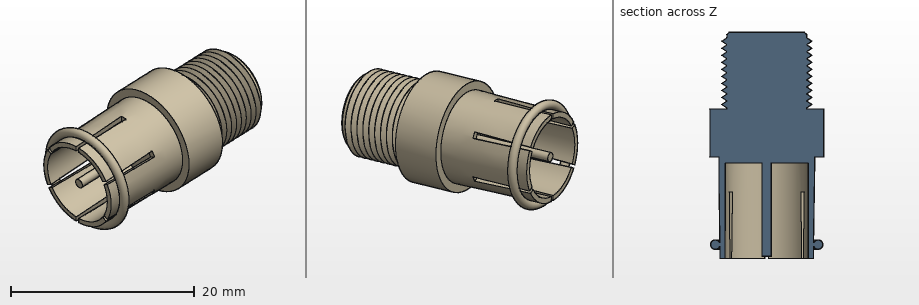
import cadquery as cq

total_length = 24.65

collar_diameter = 12.45
collar_radius = collar_diameter / 2
collar_front = 11.05
collar_rear = 16.29

thread_root_radius = 4.35
thread_crest_radius = 4.93
thread_pitch = 0.76
thread_count = 10
thread_start = 16.39
end_chamfer = 0.27

sleeve_front_radius = 5.1
sleeve_rear_radius = 5.25
bore_radius = 4.5
bore_depth = 10.4

ring_tube_radius = 0.52
ring_path_radius = 5.6
ring_position = 1.53

slot_count = 6
slot_length = 7.25
slot_front_width = 0.37
slot_rear_width = 0.71
slot_floor = bore_radius / 2

pin_radius = 0.52
pin_front = 0.25


def revolve_about_y(outline):
    """Turn an outline drawn in the XY plane fully around the Y axis."""
    return outline.close().revolve(360, (0, 0, 0), (0, 1, 0))


def make_body():
    """Solid turned body: sleeve, collar and threaded end."""
    outline = (
        cq.Workplane("XY")
        .lineTo(sleeve_front_radius, 0)
        .lineTo(sleeve_front_radius, ring_position)
        .lineTo(sleeve_rear_radius, collar_front)
        .lineTo(collar_radius, collar_front)
        .lineTo(collar_radius, collar_rear)
        .lineTo(thread_root_radius, collar_rear)
        .lineTo(thread_root_radius, thread_start)
    )
    for index in range(thread_count):
        ridge_start = thread_start + index * thread_pitch
        outline = outline.lineTo(thread_crest_radius, ridge_start + thread_pitch / 2)
        outline = outline.lineTo(thread_root_radius, ridge_start + thread_pitch)
    outline = (
        outline
        .lineTo(thread_root_radius, total_length - end_chamfer)
        .lineTo(thread_root_radius - end_chamfer, total_length)
        .lineTo(0, total_length)
    )
    return revolve_about_y(outline)


def make_bore():
    """Blind bore of the sleeve, leaving the centre pin standing on its floor."""
    outline = (
        cq.Workplane("XY")
        .lineTo(bore_radius, 0)
        .lineTo(bore_radius, bore_depth)
        .lineTo(pin_radius, bore_depth)
        .lineTo(pin_radius, pin_front)
        .lineTo(0, pin_front)
    )
    return revolve_about_y(outline)


def make_slot(angle):
    """Cutter for one slot, narrowing toward the front; zero degrees points along +Z."""
    return (
        cq.Workplane("XY", origin=(0, 0, slot_floor))
        .polyline([
            (-slot_front_width / 2, 0),
            (slot_front_width / 2, 0),
            (slot_rear_width / 2, slot_length),
            (-slot_rear_width / 2, slot_length),
        ])
        .close()
        .extrude(sleeve_rear_radius - slot_floor)
        .rotate((0, 0, 0), (0, 1, 0), angle)
    )


def make_ring():
    """Closed round-section ring seated in the outside of the sleeve."""
    section = cq.Workplane("XY").center(ring_path_radius, ring_position).circle(ring_tube_radius)
    return section.revolve(360, (-ring_path_radius, 0, 0), (-ring_path_radius, 1, 0))


result = make_body().cut(make_bore())
for slot_index in range(slot_count):
    result = result.cut(make_slot(slot_index * 360 / slot_count))

result = result.union(make_ring())